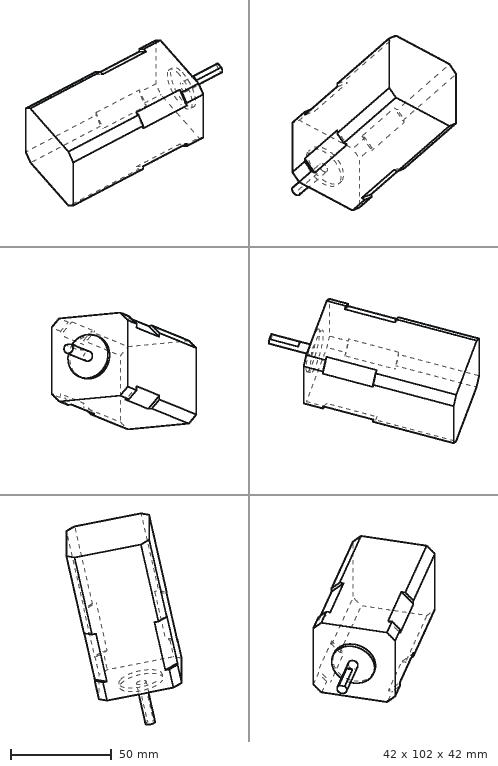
import cadquery as cq

body_width = 42.0
body_length = 78.0
corner_chamfer = 4.2

deep_chamfer = 6.2
front_cap_length = 10.0
middle_length = 26.0

boss_diameter = 22.0
boss_height = 2.0
shaft_diameter = 5.0
shaft_reach = 24.0
flat_length = 15.0
flat_height = 4.5


def square_bar(y_start, length, chamfer):
    """Square bar along +Y with its four long edges chamfered."""
    bar = cq.Workplane("XY").box(body_width, length, body_width)
    return bar.edges("|Y").chamfer(chamfer).translate((0, y_start + length / 2, 0))


def round_bar(diameter, length):
    """Cylinder on the motor axis, rising from the mounting face."""
    return cq.Workplane("XZ").circle(diameter / 2).extrude(-length)


def make_body():
    middle_front = -front_cap_length
    middle_back = middle_front - middle_length
    front_cap = square_bar(middle_front, front_cap_length, corner_chamfer)
    middle = square_bar(middle_back, middle_length, deep_chamfer)
    rear = square_bar(-body_length, body_length + middle_back, corner_chamfer)
    return front_cap.union(middle).union(rear)


def make_shaft():
    """Output shaft with a flat on its +Z side at the tip."""
    shaft = round_bar(shaft_diameter, shaft_reach)
    flat_z = flat_height - shaft_diameter / 2
    flat_cut = (
        cq.Workplane("XY")
        .box(shaft_diameter, flat_length, shaft_diameter, centered=(True, False, False))
        .translate((0, shaft_reach - flat_length, flat_z))
    )
    return shaft.cut(flat_cut)


result = make_body().union(round_bar(boss_diameter, boss_height)).union(make_shaft())